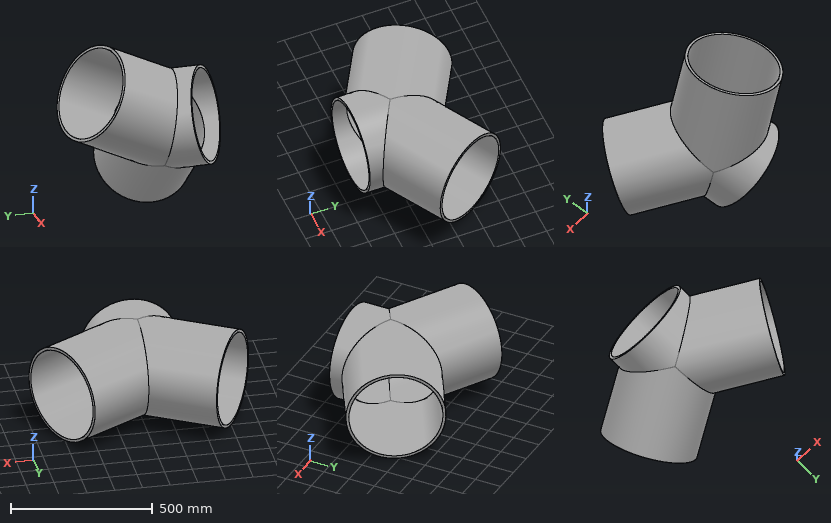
import cadquery as cq
import math

span = 794.0
depth = 484.0
outer_diameter = 355.5
bore_diameter = 333.0
arm_angle = 30.0

outer_radius = outer_diameter / 2
cos_arm = math.cos(math.radians(arm_angle))
sin_arm = math.sin(math.radians(arm_angle))
arm_length = (span / 2 - outer_radius * sin_arm) / cos_arm
arm_reach_y = arm_length * sin_arm + outer_radius * cos_arm
leg_length = depth - arm_reach_y

branches = [
    (arm_angle, arm_length),
    (180 - arm_angle, arm_length),
    (-90, leg_length),
]


def branch_cylinder(diameter, angle, length):
    """Cylinder running from the axis junction outwards in the XY plane."""
    direction = cq.Vector(math.cos(math.radians(angle)), math.sin(math.radians(angle)), 0)
    return cq.Workplane(cq.Plane((0, 0, 0), (0, 0, 1), direction)).circle(diameter / 2).extrude(length)


def three_way(diameter):
    """Three cylinders joined along their mitred seams."""
    body = cq.Workplane("XY")
    for angle, length in branches:
        body = body.add(branch_cylinder(diameter, angle, length))
    return body.combine()


trim_box = cq.Workplane("XY").box(span, depth, outer_diameter, centered=(True, False, True))
trim_box = trim_box.translate((0, -leg_length, 0))
outer_body = three_way(outer_diameter).intersect(trim_box)

result = outer_body.cut(three_way(bore_diameter))